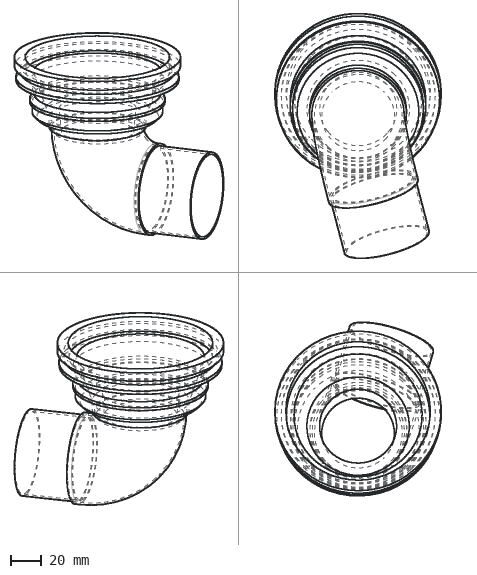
import cadquery as cq


FLANGE_DIAMETER = 108.0
FLANGE_BOTTOM = -5.9
NECK_DIAMETER = 100.0
NECK_BOTTOM = -10.0
UPPER_RIDGE_DIAMETER = 106.0
UPPER_RIDGE_TOP = -13.1
UPPER_RIDGE_BOTTOM = -15.3
CONE_TOP_DIAMETER = 88.0
CONE_TOP = -16.0
CONE_BOTTOM_DIAMETER = 82.0
CONE_BOTTOM = -25.0
LOWER_RIDGE_DIAMETER = 88.0
LOWER_RIDGE_TOP = -28.2
LOWER_RIDGE_BOTTOM = -30.1
BODY_DIAMETER = 85.0
BODY_BOTTOM = -40.1
BODY_CHAMFER = 3.0
COLLAR_DIAMETER = 63.0
COLLAR_BOTTOM = -47.0

RECESS_DIAMETER = 93.8
RECESS_FLOOR_DIAMETER = 93.0
RECESS_FLOOR = -10.0
FUNNEL_TOP_DIAMETER = 83.2
FUNNEL_BOTTOM_DIAMETER = 66.5
FUNNEL_FLOOR = -34.6
THROAT_TOP_DIAMETER = 50.0
THROAT_BOTTOM_DIAMETER = 47.1
THROAT_LIP_LENGTH = 3.0
THROAT_BOTTOM = COLLAR_BOTTOM - THROAT_LIP_LENGTH

ELBOW_DIAMETER = 60.0
BEND_BORE_DIAMETER = 57.0
OUTLET_BORE_DIAMETER = 54.0
BEND_RADIUS = 38.0
ELBOW_END_RING = 3.0
OUTLET_DIAMETER = 57.0
TOTAL_LENGTH = 131.0
OUTLET_END = TOTAL_LENGTH - FLANGE_DIAMETER / 2
OUTLET_AXIS_Z = COLLAR_BOTTOM - BEND_RADIUS

LIP_DIAMETER = (ELBOW_DIAMETER + BEND_BORE_DIAMETER) / 2


def revolve_profile(steps):
    """Revolve (diameter, level) corners, closed along the Z axis."""
    corners = [(diameter / 2, level) for diameter, level in steps]
    top = (0, steps[0][1])
    bottom = (0, steps[-1][1])
    profile = cq.Workplane("XZ").polyline([top, *corners, bottom]).close()
    return profile.revolve(360, (0, 0, 0), (0, 1, 0))


def make_bend(diameter):
    """Quarter-turn of round pipe from straight down to +X."""
    section = cq.Workplane("XY", origin=(0, 0, COLLAR_BOTTOM)).circle(diameter / 2)
    return section.revolve(90, (BEND_RADIUS, 0, 0), (BEND_RADIUS, -1, 0))


def make_outlet_cylinder(diameter, end):
    """Cylinder on the outlet axis, from the end of the bend to X = end."""
    start = cq.Workplane("YZ", origin=(BEND_RADIUS, 0, OUTLET_AXIS_Z))
    return start.circle(diameter / 2).extrude(end - BEND_RADIUS)


def make_socket():
    return revolve_profile([
        (FLANGE_DIAMETER, 0),
        (FLANGE_DIAMETER, FLANGE_BOTTOM),
        (NECK_DIAMETER, FLANGE_BOTTOM),
        (NECK_DIAMETER, NECK_BOTTOM),
        (UPPER_RIDGE_DIAMETER, UPPER_RIDGE_TOP),
        (UPPER_RIDGE_DIAMETER, UPPER_RIDGE_BOTTOM),
        (CONE_TOP_DIAMETER, CONE_TOP),
        (CONE_BOTTOM_DIAMETER, CONE_BOTTOM),
        (LOWER_RIDGE_DIAMETER, LOWER_RIDGE_TOP),
        (LOWER_RIDGE_DIAMETER, LOWER_RIDGE_BOTTOM),
        (BODY_DIAMETER, LOWER_RIDGE_BOTTOM),
        (BODY_DIAMETER, BODY_BOTTOM + BODY_CHAMFER),
        (BODY_DIAMETER - 2 * BODY_CHAMFER, BODY_BOTTOM),
        (COLLAR_DIAMETER, BODY_BOTTOM),
        (COLLAR_DIAMETER, COLLAR_BOTTOM),
        (LIP_DIAMETER, COLLAR_BOTTOM),
        (LIP_DIAMETER, THROAT_BOTTOM),
    ])


def make_socket_cavity():
    return revolve_profile([
        (RECESS_DIAMETER, 0),
        (RECESS_FLOOR_DIAMETER, RECESS_FLOOR),
        (FUNNEL_TOP_DIAMETER, RECESS_FLOOR),
        (FUNNEL_BOTTOM_DIAMETER, FUNNEL_FLOOR),
        (THROAT_TOP_DIAMETER, FUNNEL_FLOOR),
        (THROAT_BOTTOM_DIAMETER, THROAT_BOTTOM),
    ])


def make_elbow():
    """Hollow bend with its end ring and the straight outlet pipe."""
    outside = (
        make_bend(ELBOW_DIAMETER)
        .union(make_outlet_cylinder(ELBOW_DIAMETER, BEND_RADIUS + ELBOW_END_RING))
        .union(make_outlet_cylinder(OUTLET_DIAMETER, OUTLET_END))
    )
    return (
        outside
        .cut(make_bend(BEND_BORE_DIAMETER))
        .cut(make_outlet_cylinder(OUTLET_BORE_DIAMETER, OUTLET_END))
    )


result = make_socket().union(make_elbow()).cut(make_socket_cavity())